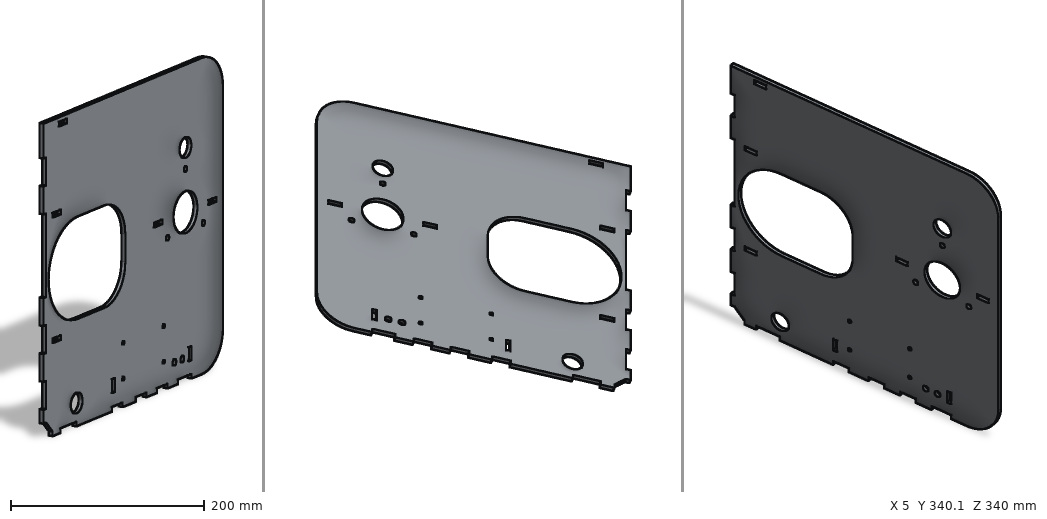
import cadquery as cq
import math

THICKNESS = 5.0
LENGTH_Y = 340.15
HEIGHT_Z = 340.0
CORNER_RADIUS = 40.0

NOTCH_DEPTH = THICKNESS
FRONT_NOTCHES_Z = [(32.5, 62.5), (92.5, 122.5), (152.5, 242.5), (272.5, 302.5)]
BOTTOM_FRONT_NOTCH_Y = (32.5, 62.5)
BOTTOM_NOTCHES_FROM_BACK = [(60.0, 85.0), (105.0, 125.0), (145.0, 165.0), (190.0, 210.0)]
CORNER_CUT = 17.5

WINDOW_HEIGHT = 110.0
WINDOW_CENTER_Z = HEIGHT_Z / 2
WINDOW_FRONT_Y = 10.0
WINDOW_BACK_Y = 155.0
WINDOW_CORNER_RADIUS = 40.0

SLOT_LENGTH = 15.0
SLOT_WIDTH = THICKNESS
TOP_SLOT_Y = 37.5
TOP_SLOT_DEPTH = 7.5
TOP_SLOT_Z = HEIGHT_Z - TOP_SLOT_DEPTH
WINDOW_SLOT_Y = 25.4
WINDOW_SLOT_GAP = 10.0
UPRIGHT_SLOTS_Y = [132.75, 277.75]
UPRIGHT_SLOT_Z = 27.3

BORE_DIAMETER = 45.0
BORE_Y = 269.0
BORE_Z = 181.5
BORE_SLOT_OFFSET = 51.5
SCREW_DIAMETER = 6.0
SCREW_CIRCLE_RADIUS = 39.0
SCREW_ANGLE_BELOW_BORE = math.radians(30)
SCREW_SIDE_OFFSET = SCREW_CIRCLE_RADIUS * math.cos(SCREW_ANGLE_BELOW_BORE)
SCREW_DROP = SCREW_CIRCLE_RADIUS * math.sin(SCREW_ANGLE_BELOW_BORE)
UPPER_SCREW_RISE = 46.5

BUTTON_DIAMETER = 22.1
UPPER_BUTTON_RISE = 69.5
LOWER_BUTTON_Y = 63.0
LOWER_HOLE_Z = 25.1

CABLE_DIAMETER = 7.0
CABLE_HOLES_Y = [248.0, 263.0]

BOARD_HOLE_DIAMETER = 4.0
BOARD_PITCH_Y = 76.6
BOARD_PITCH_Z = 38.5
BOARD_CENTER_Y = 189.5
BOARD_CENTER_Z = 49.7


def block(y_min, y_max, z_min, z_max):
    """Box through the full panel thickness."""
    size = (THICKNESS, y_max - y_min, z_max - z_min)
    return cq.Workplane("XY").box(*size, centered=False).translate((0, y_min, z_min))


def slot(y, z, size_y=SLOT_LENGTH, size_z=SLOT_WIDTH):
    """Rectangular slot cutter centred on (y, z)."""
    return block(y - size_y / 2, y + size_y / 2, z - size_z / 2, z + size_z / 2)


def drill(panel, points, diameter):
    """Cut round through holes at the given (y, z) points."""
    holes = cq.Workplane("YZ").pushPoints(points).circle(diameter / 2).extrude(THICKNESS)
    return panel.cut(holes)


def make_blank():
    """Rectangular plate with both +Y corners rounded."""
    return block(0, LENGTH_Y, 0, HEIGHT_Z).edges("|X and >Y").fillet(CORNER_RADIUS)


def cut_edges(panel):
    """Cut the finger joint notches and the stepped bevel in the -Y, -Z corner."""
    for z_min, z_max in FRONT_NOTCHES_Z:
        panel = panel.cut(block(0, NOTCH_DEPTH, z_min, z_max))
    bottom_notches = [(LENGTH_Y - far, LENGTH_Y - near) for near, far in BOTTOM_NOTCHES_FROM_BACK]
    bottom_notches.append(BOTTOM_FRONT_NOTCH_Y)
    for y_min, y_max in bottom_notches:
        panel = panel.cut(block(y_min, y_max, 0, NOTCH_DEPTH))
    corner = (
        cq.Workplane("YZ")
        .moveTo(0, 0)
        .lineTo(CORNER_CUT, 0)
        .lineTo(CORNER_CUT, NOTCH_DEPTH)
        .lineTo(NOTCH_DEPTH, CORNER_CUT)
        .lineTo(0, CORNER_CUT)
        .close()
        .extrude(THICKNESS)
    )
    return panel.cut(corner)


def cut_window(panel):
    """Cut the large window with one semicircular end."""
    radius = WINDOW_HEIGHT / 2
    arc_center_y = WINDOW_FRONT_Y + radius
    z_min = WINDOW_CENTER_Z - radius
    z_max = WINDOW_CENTER_Z + radius
    straight = block(arc_center_y, WINDOW_BACK_Y, z_min, z_max)
    straight = straight.edges("|X and >Y").fillet(WINDOW_CORNER_RADIUS)
    return drill(panel.cut(straight), [(arc_center_y, WINDOW_CENTER_Z)], WINDOW_HEIGHT)


def cut_slots(panel):
    """Cut every rectangular tab slot."""
    panel = panel.cut(slot(TOP_SLOT_Y, TOP_SLOT_Z))
    window_slot_offset = WINDOW_HEIGHT / 2 + WINDOW_SLOT_GAP + SLOT_WIDTH / 2
    for side in (-1, 1):
        panel = panel.cut(slot(WINDOW_SLOT_Y, WINDOW_CENTER_Z + side * window_slot_offset))
        panel = panel.cut(slot(BORE_Y + side * BORE_SLOT_OFFSET, BORE_Z))
    for y in UPRIGHT_SLOTS_Y:
        panel = panel.cut(slot(y, UPRIGHT_SLOT_Z, SLOT_WIDTH, SLOT_LENGTH))
    return panel


def cut_round_holes(panel):
    """Drill the bore, its screw holes, and the button, cable and board holes."""
    panel = drill(panel, [(BORE_Y, BORE_Z)], BORE_DIAMETER)
    screws = [(BORE_Y + side * SCREW_SIDE_OFFSET, BORE_Z - SCREW_DROP) for side in (-1, 1)]
    screws.append((BORE_Y, BORE_Z + UPPER_SCREW_RISE))
    panel = drill(panel, screws, SCREW_DIAMETER)
    buttons = [(BORE_Y, BORE_Z + UPPER_BUTTON_RISE), (LOWER_BUTTON_Y, LOWER_HOLE_Z)]
    panel = drill(panel, buttons, BUTTON_DIAMETER)
    cables = [(y, LOWER_HOLE_Z) for y in CABLE_HOLES_Y]
    panel = drill(panel, cables, CABLE_DIAMETER)
    board_holes = [
        (BOARD_CENTER_Y + side_y * BOARD_PITCH_Y / 2, BOARD_CENTER_Z + side_z * BOARD_PITCH_Z / 2)
        for side_y in (-1, 1)
        for side_z in (-1, 1)
    ]
    return drill(panel, board_holes, BOARD_HOLE_DIAMETER)


result = cut_round_holes(cut_slots(cut_window(cut_edges(make_blank()))))